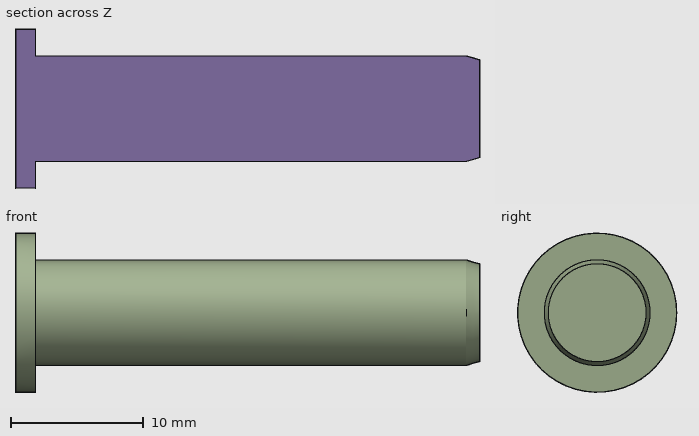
import cadquery as cq

total_length = 35.0
head_diameter = 12.0
head_thickness = 1.5
shank_diameter = 7.98
taper_length = 1.0
taper_depth = 0.3

head_radius = head_diameter / 2
shank_radius = shank_diameter / 2
tip_radius = shank_radius - taper_depth

result = (
    cq.Workplane("XY")
    .moveTo(0, 0)
    .lineTo(0, head_radius)
    .lineTo(head_thickness, head_radius)
    .lineTo(head_thickness, shank_radius)
    .lineTo(total_length - taper_length, shank_radius)
    .lineTo(total_length, tip_radius)
    .lineTo(total_length, 0)
    .close()
    .revolve(360, (0, 0, 0), (1, 0, 0))
)